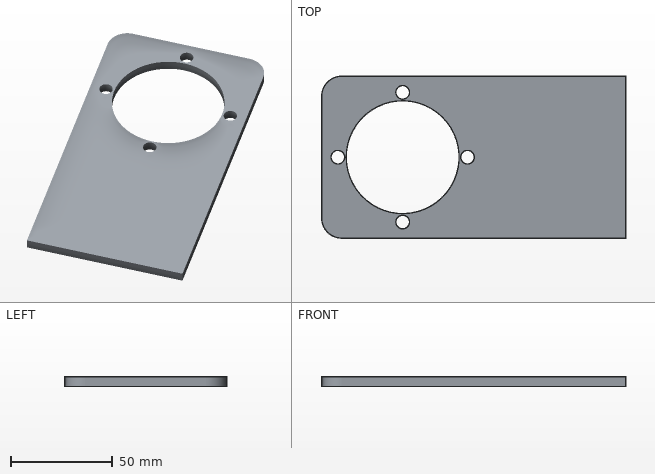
import cadquery as cq

length = 150.0
width = 80.0
thickness = 5.0
corner_radius = 10.0

opening_diameter = 55.5
opening_x = -length / 2 + width / 2

screw_hole_diameter = 6.6
screw_circle_radius = 32.0
screw_hole_count = 4

plate = (
    cq.Workplane("XY")
    .box(length, width, thickness)
    .edges("|Z and <X")
    .fillet(corner_radius)
)

opening_cut = (
    plate.faces(">Z")
    .workplane(origin=(opening_x, 0, 0))
    .hole(opening_diameter)
)

result = (
    opening_cut.faces(">Z")
    .workplane(origin=(opening_x, 0, 0))
    .polarArray(screw_circle_radius, 0, 360, screw_hole_count)
    .hole(screw_hole_diameter)
)